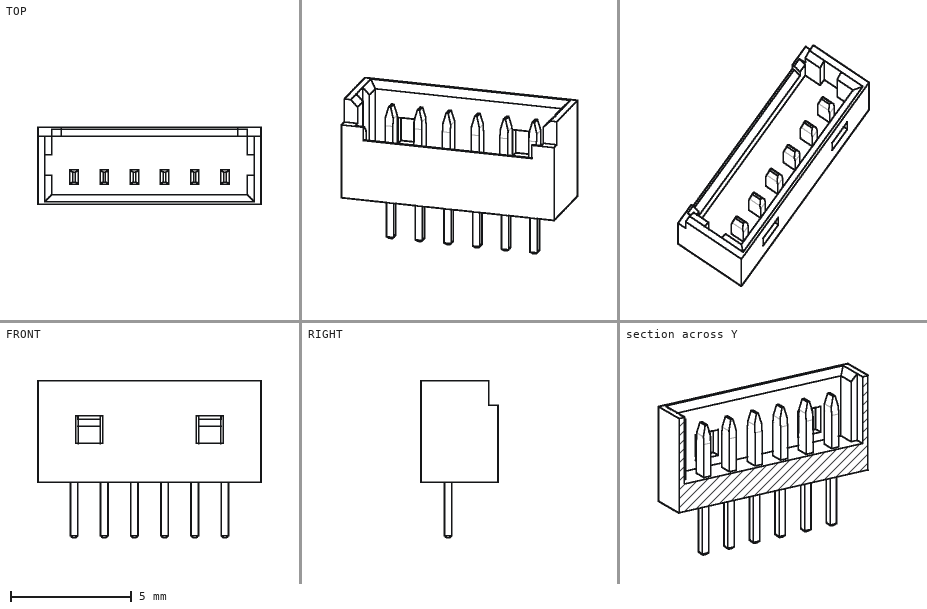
import cadquery as cq


pin_count = 6
pitch = 1.25

length = 9.25
depth = 3.2
height = 4.21
front_wall = 0.41
back_wall = 0.39
end_wall = 0.58
floor = 1.25
lead_in = 0.3

post_height = 3.2
sill_height = 2.62
sill_length = 7.33

groove_front = 1.2
groove_width = 0.86

window_offset = 2 * pitch
window_width = 1.11
window_bottom = 1.62
window_height = 1.14

pin_y = 1.13
tail_size = 0.31
tail_length = 2.29
tail_chamfer = 0.09
blade_width = 0.34
blade_depth = 0.6
blade_top = 3.515
tip_width = 0.09
tip_depth = 0.42
tip_height = 0.46
taper_height = 0.79

cavity_length = length - 2 * end_wall
cavity_depth = depth - front_wall - back_wall
cavity_back = front_wall + cavity_depth
flare_length = cavity_length + 2 * lead_in


def block(x_size, y_front, y_size, z_bottom, z_top, x_center=0.0):
    """Box centred on x_center, with its front face and Z limits given."""
    box = cq.Workplane("XY").box(x_size, y_size, z_top - z_bottom, centered=(True, False, False))
    return box.translate((x_center, y_front, z_bottom))


def back_bevel(bevel_length, top):
    """Wedge that bevels the inner top edge of the back wall."""
    corners = [
        (cavity_back, top - lead_in),
        (cavity_back + lead_in, top),
        (cavity_back, top),
    ]
    return cq.Workplane("YZ").polyline(corners).close().extrude(bevel_length / 2, both=True)


def mouth_flare():
    """Flared mouth that bevels the top edges of the front and end walls."""
    return (
        cq.Workplane("XY", origin=(0, front_wall + cavity_depth / 2, height - lead_in))
        .rect(cavity_length, cavity_depth)
        .workplane(offset=lead_in)
        .rect(flare_length, cavity_depth + 2 * lead_in)
        .loft(ruled=True)
    )


def make_housing():
    body = block(length, 0, depth, 0, height)
    body = body.cut(block(length, cavity_back, back_wall, post_height, height))
    body = body.cut(block(sill_length, cavity_back, back_wall, sill_height, height))
    body = body.cut(block(cavity_length, front_wall, cavity_depth, floor, height))
    body = body.cut(mouth_flare())
    body = body.cut(back_bevel(sill_length, sill_height))
    body = body.cut(back_bevel(cavity_length, post_height))
    body = body.cut(block(flare_length, groove_front, groove_width, floor, height))
    window_top = window_bottom + window_height
    for window_x in (-window_offset, window_offset):
        body = body.cut(block(window_width, 0, front_wall, window_bottom, window_top, window_x))
    return body


def tapered_slab(plane, width, top_width, taper):
    """Slab standing on the cavity floor whose profile narrows over its top stretch."""
    shoulder = blade_top - taper
    profile = [
        (-width / 2, floor),
        (width / 2, floor),
        (width / 2, shoulder),
        (top_width / 2, blade_top),
        (-top_width / 2, blade_top),
        (-width / 2, shoulder),
    ]
    return cq.Workplane(plane).polyline(profile).close().extrude(blade_depth, both=True)


def make_pin():
    """Square tail below the housing and a tapered blade inside the cavity."""
    tail = (
        cq.Workplane("XY", origin=(0, pin_y, -tail_length))
        .rect(tail_size, tail_size)
        .extrude(tail_length + floor)
        .faces("<Z")
        .chamfer(tail_chamfer)
    )
    broad_taper = tapered_slab("XZ", blade_width, tip_width, tip_height)
    narrow_taper = tapered_slab("YZ", blade_depth, tip_depth, taper_height)
    blade = broad_taper.intersect(narrow_taper).translate((0, pin_y, 0))
    return tail.union(blade)


result = make_housing()
pin = make_pin()
for index in range(pin_count):
    pin_x = (index - (pin_count - 1) / 2) * pitch
    result = result.union(pin.translate((pin_x, 0, 0)))